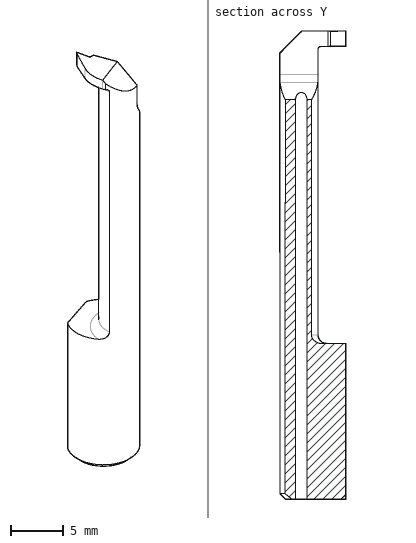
import cadquery as cq
import math

total_length = 45.0
shank_radius = 3.5
shank_length = 15.0
shank_chamfer = 0.55
flat_x = -2.85

neck_radius = 2.95
neck_x = 2.8
neck_root_fillet = 0.8

flat_y = 0.2
flat_bottom_z = 40.35
slope_end_y = 2.92
slope_end_z = 37.1
runout_radius = 1.25

tip_land_x = -2.6
tip_land_y = -0.35
back_start_x = -1.0
back_start_y = -2.02
heel_x = 1.4
heel_y = -3.05
rake_tip_y = -0.05
rake_root_x = -1.35
rake_root_y = -0.22
rake_end_x = -1.12

head_thickness = 1.55
top_relief_angle = 4.0
under_relief_angle = 5.0
nose_chamfer = 2.1
hook_fillet = 0.22

coolant_x = 1.45
coolant_y = 1.8
coolant_diameter = 1.1

margin = 4.5


def cylinder(radius, height, x=0.0):
    return cq.Workplane("XY").center(x, 0).circle(radius).extrude(height)


def make_shank():
    body = cylinder(shank_radius, shank_length)
    return body.faces("<Z").chamfer(shank_chamfer)


def make_neck():
    """Off-centre round bar with a concave fillet ring at its root."""
    neck = cylinder(neck_radius, total_length, neck_x)
    ring_radius = neck_radius + neck_root_fillet
    ring_top = shank_length + neck_root_fillet
    bend = neck_root_fillet * (1 - math.sqrt(0.5))
    ring = (
        cq.Workplane("XZ")
        .moveTo(0, shank_length)
        .lineTo(ring_radius, shank_length)
        .threePointArc((neck_radius + bend, shank_length + bend), (neck_radius, ring_top))
        .lineTo(0, ring_top)
        .close()
        .revolve(360, (0, 0, 0), (0, 1, 0))
        .translate((neck_x, 0, 0))
    )
    envelope = cylinder(shank_radius, total_length - shank_length).translate((0, 0, shank_length))
    return neck.union(ring).intersect(envelope)


def make_head():
    """Hooked head with a tip land, straight and round back, and a hollow rake face."""
    head_base = total_length - head_thickness
    head = (
        cq.Workplane("XY", origin=(0, 0, head_base))
        .moveTo(flat_x, rake_tip_y)
        .lineTo(tip_land_x, tip_land_y)
        .lineTo(back_start_x, back_start_y)
        .tangentArcPoint((heel_x, heel_y), relative=False)
        .lineTo(shank_radius, heel_y)
        .lineTo(shank_radius, flat_y)
        .lineTo(rake_end_x, flat_y)
        .lineTo(rake_root_x, rake_root_y)
        .close()
        .extrude(head_thickness)
    )
    under_relief = (
        cq.Workplane("XY")
        .box(4 * margin, 4 * margin, margin, centered=(True, True, False))
        .translate((0, 0, -margin))
        .rotate((0, 0, 0), (1, 0, 0), -under_relief_angle)
        .translate((0, flat_y, head_base))
    )
    return head.cut(under_relief).intersect(cylinder(shank_radius, total_length))


def flat_cutter():
    """Removes the +Y half of the upper neck, blending into the runout slope."""
    slope = (slope_end_z - flat_bottom_z) / (slope_end_y - flat_y)
    outer_y = slope_end_y + margin
    return (
        cq.Workplane("YZ", origin=(-2 * margin, 0, 0))
        .moveTo(flat_y, total_length + margin)
        .lineTo(flat_y, flat_bottom_z)
        .lineTo(outer_y, flat_bottom_z + slope * (outer_y - flat_y))
        .lineTo(outer_y, total_length + margin)
        .close()
        .extrude(4 * margin)
        .edges(cq.selectors.NearestToPointSelector((0, flat_y, flat_bottom_z)))
        .fillet(runout_radius)
    )


def nose_cutter():
    """Relieved top face and sloping nose chamfer, falling away towards -Y."""
    chamfer_start = shank_radius - nose_chamfer
    reach = nose_chamfer + margin
    return (
        cq.Workplane("XZ", origin=(0, margin, 0))
        .moveTo(-2 * margin, 0)
        .lineTo(chamfer_start, 0)
        .lineTo(chamfer_start + reach, -reach)
        .lineTo(chamfer_start + reach, margin)
        .lineTo(-2 * margin, margin)
        .close()
        .extrude(3 * margin)
        .rotate((0, 0, 0), (1, 0, 0), top_relief_angle)
        .translate((0, flat_y, total_length))
    )


side_flat = (
    cq.Workplane("XY")
    .box(margin, 4 * margin, total_length, centered=(False, True, False))
    .translate((flat_x - margin, 0, 0))
)
coolant_hole = (
    cq.Workplane("XY")
    .center(coolant_x, coolant_y)
    .circle(coolant_diameter / 2)
    .extrude(total_length)
)

result = make_shank().union(make_neck()).cut(flat_cutter()).union(make_head())
hook_angle = math.radians(40)
hook_corner = (
    neck_x - neck_radius * math.cos(hook_angle),
    -neck_radius * math.sin(hook_angle),
    total_length - head_thickness,
)
result = result.edges(cq.selectors.NearestToPointSelector(hook_corner)).fillet(hook_fillet)
result = result.cut(nose_cutter()).cut(side_flat).cut(coolant_hole)